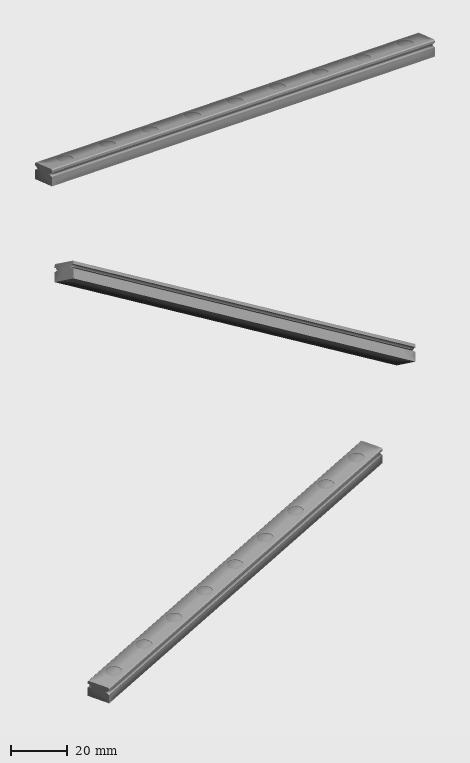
import cadquery as cq

length = 180.0
width = 9.0
height = 6.5

top_chamfer = 0.4

groove_top = 5.2
groove_bottom = 3.6
groove_depth = 0.9

slot_depth = 1.5
slot_height = 0.4
slot_middle = 4.1

recess_count = 9
recess_pitch = 20.0
recess_diameter = 6.0
recess_depth = 0.2

side = width / 2


def extrude_along_rail(section):
    """Extrude a section drawn in XZ over the whole length, centred on the origin."""
    return section.extrude(length / 2, both=True)


def rail_bar():
    """Plain bar standing on Z = 0 with its upper long edges bevelled."""
    bar = cq.Workplane("XY").box(width, length, height, centered=(True, True, False))
    return bar.edges(">Z and |Y").chamfer(top_chamfer)


def side_groove():
    """Material removed from the +X side: an arc-shaped groove plus its relief slot."""
    groove_middle = (groove_top + groove_bottom) / 2
    groove = extrude_along_rail(
        cq.Workplane("XZ")
        .moveTo(side, groove_top)
        .threePointArc((side - groove_depth, groove_middle), (side, groove_bottom))
        .close()
    )
    slot = extrude_along_rail(
        cq.Workplane("XZ").center(side - slot_depth / 2, slot_middle).rect(slot_depth, slot_height)
    )
    return groove.union(slot)


def top_recesses():
    """Row of discs that sink the round recesses into the top face."""
    return (
        cq.Workplane("XY", origin=(0, 0, height - recess_depth))
        .rarray(1.8, recess_pitch, 1, recess_count)
        .circle(recess_diameter / 2)
        .extrude(recess_depth)
    )


right_groove = side_groove()
left_groove = right_groove.mirror("YZ")

result = rail_bar().cut(right_groove).cut(left_groove).cut(top_recesses())